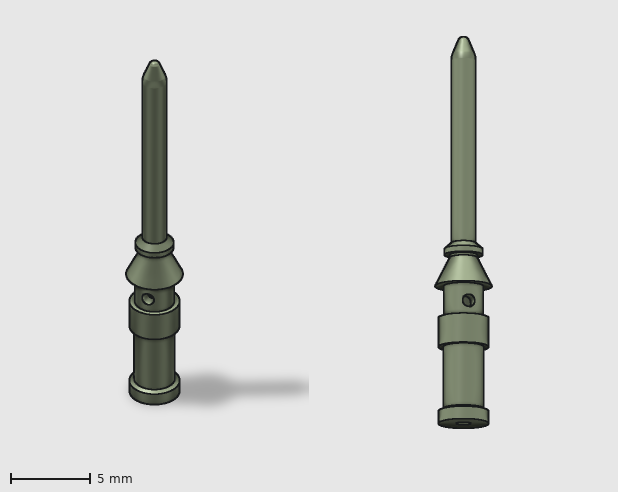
import cadquery as cq
import math

total_height = 24.9

tip_flat_diameter = 0.147
tip_diameter = 0.67
pin_diameter = 1.57
collar_diameter = 2.45
neck_diameter = 1.77
barb_diameter = 3.6
waist_diameter = 2.51
band_diameter = 3.19
barrel_diameter = 2.6
foot_diameter = 3.19

foot_edge_z = 0.8
foot_top_z = 0.95
band_bottom_z = 4.93
band_top_z = 6.8
barb_bottom_z = 8.85
barb_top_z = 10.68
collar_bottom_z = 10.85
collar_edge_z = 11.23
collar_top_z = 11.63
pin_top_z = 23.38
blend_top_z = 23.83
tip_edge_z = 24.7

bore_diameter = 0.92
inspection_diameter = 0.8
inspection_z = 7.7
bore_depth = inspection_z + inspection_diameter

blend_height = blend_top_z - pin_top_z
taper_height = tip_edge_z - blend_top_z


def blend_inset(taper_angle):
    """Radius lost over a blend that starts vertical and turns by taper_angle."""
    return blend_height * math.tan(taper_angle / 2)


taper_angle = math.atan2((pin_diameter - tip_diameter) / 2, taper_height + blend_height / 2)
blend_top_radius = pin_diameter / 2 - blend_inset(taper_angle)


def make_contact_body():
    """Revolve the stepped outline around Z."""
    outline = (
        cq.Workplane("XZ")
        .lineTo(foot_diameter / 2, 0)
        .lineTo(foot_diameter / 2, foot_edge_z)
        .lineTo(barrel_diameter / 2, foot_top_z)
        .lineTo(barrel_diameter / 2, band_bottom_z)
        .lineTo(band_diameter / 2, band_bottom_z)
        .lineTo(band_diameter / 2, band_top_z)
        .lineTo(waist_diameter / 2, band_top_z)
        .lineTo(waist_diameter / 2, barb_bottom_z)
        .lineTo(barb_diameter / 2, barb_bottom_z)
        .lineTo(neck_diameter / 2, barb_top_z)
        .lineTo(neck_diameter / 2, collar_bottom_z)
        .lineTo(collar_diameter / 2, collar_bottom_z)
        .lineTo(collar_diameter / 2, collar_edge_z)
        .lineTo(pin_diameter / 2, collar_top_z)
        .lineTo(pin_diameter / 2, pin_top_z)
        .tangentArcPoint((blend_top_radius, blend_top_z), relative=False)
        .lineTo(tip_diameter / 2, tip_edge_z)
        .tangentArcPoint((tip_flat_diameter / 2, total_height), relative=False)
        .lineTo(0, total_height)
        .close()
    )
    return outline.revolve(360, (0, 0, 0), (0, 1, 0))


def make_wire_bore():
    """Blind bore from the foot, ending just above the inspection hole."""
    return cq.Workplane("XY").circle(bore_diameter / 2).extrude(bore_depth)


def make_inspection_hole():
    """Radial hole from the -Y side to the axis of the bore."""
    return (
        cq.Workplane("XZ")
        .center(0, inspection_z)
        .circle(inspection_diameter / 2)
        .extrude(waist_diameter)
    )


result = make_contact_body().cut(make_wire_bore()).cut(make_inspection_hole())